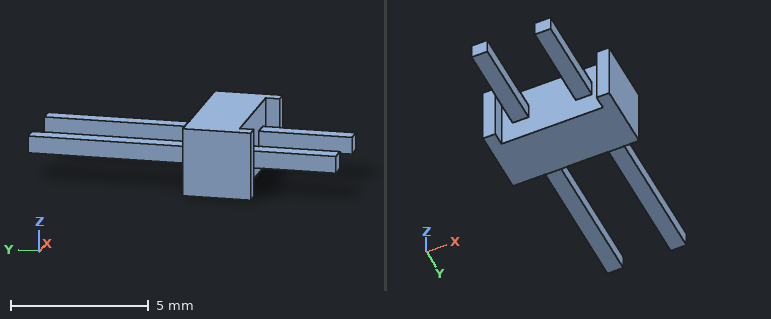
import cadquery as cq

pin_count = 2
pitch = 2.54
pin_side = 0.64
pin_length = 11.5
rear_pin_length = 6.0
lip_width = 0.51
recess_depth = 0.53

housing_width = pin_count * pitch
housing_depth = pitch
housing_height = pitch
pin_rear_y = housing_depth + rear_pin_length
pin_front_y = pin_rear_y - pin_length


def make_housing():
    """Block with a full-height recess that leaves a lip at each front end."""
    block = cq.Workplane("XY").box(
        housing_width, housing_depth, housing_height, centered=(True, False, True)
    )
    recess = cq.Workplane("XY").box(
        housing_width - 2 * lip_width, recess_depth, housing_height, centered=(True, False, True)
    )
    return block.cut(recess)


def make_pin(x):
    """Square pin running along Y through the housing."""
    pin = cq.Workplane("XY").box(pin_side, pin_length, pin_side, centered=(True, False, True))
    return pin.translate((x, pin_front_y, 0))


result = make_housing()
for index in range(pin_count):
    pin_x = (index - (pin_count - 1) / 2) * pitch
    result = result.union(make_pin(pin_x))